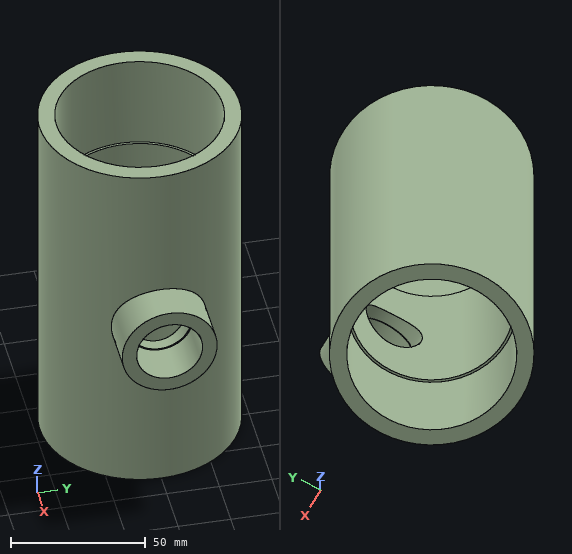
import cadquery as cq

pipe_length = 143.0
pipe_diameter = 76.0
bore_diameter = 61.0
socket_diameter = 63.0
socket_depth = 38.0

branch_diameter = 36.0
overall_width = 90.5
branch_reach = overall_width - pipe_diameter / 2
branch_bore_diameter = 24.0
branch_socket_diameter = 25.0
branch_socket_depth = 17.2


def cylinder_z(diameter, z_start, length):
    """Cylinder on the pipe axis, rising from z_start."""
    return cq.Workplane("XY").workplane(offset=z_start).circle(diameter / 2).extrude(length)


def cylinder_x(diameter, x_start, length):
    """Cylinder on the branch axis, running toward +X from x_start."""
    return cq.Workplane("YZ").workplane(offset=x_start).circle(diameter / 2).extrude(length)


body = cylinder_z(pipe_diameter, -pipe_length / 2, pipe_length)
body = body.union(cylinder_x(branch_diameter, 0, branch_reach))

body = body.cut(cylinder_z(bore_diameter, -pipe_length / 2, pipe_length))
for socket_start in (-pipe_length / 2, pipe_length / 2 - socket_depth):
    body = body.cut(cylinder_z(socket_diameter, socket_start, socket_depth))

body = body.cut(cylinder_x(branch_bore_diameter, 0, branch_reach))
branch_socket_start = branch_reach - branch_socket_depth
body = body.cut(cylinder_x(branch_socket_diameter, branch_socket_start, branch_socket_depth))

result = body